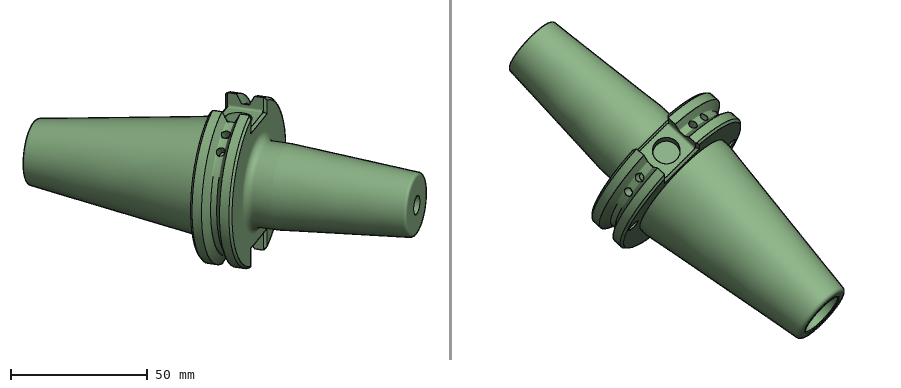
import cadquery as cq
import math

total_length = 148.2
taper_length = 68.2
hub_length = 3.1
flange_start = taper_length + hub_length
flange_width = 16.0
flange_end = flange_start + flange_width
cone_start = 97.5

gauge_radius = 22.2
taper_slope = 7 / 48
taper_small_radius = gauge_radius - taper_length * taper_slope
taper_end_fillet = 1.5
flange_radius = 31.7
flange_chamfer = 0.9

groove_offset = 11.1
groove_centre = taper_length + groove_offset
groove_floor_radius = 28.2
groove_top_width = 7.0
groove_half_angle = 30.0
groove_floor_fillet = 0.5

nose_radius = 16.0
nose_tip_radius = 12.0
nose_root_fillet = 3.0
nose_tip_fillet = 1.2

through_radius = 3.5
thread_radius = 6.8
thread_depth = 32.0
pilot_radius = 8.6
pilot_depth = 5.0
pilot_shoulder = 0.3
pilot_cone_length = 2.2
bore_chamfer = 0.37
drill_point_angle = 59.0

slot_width = 16.5
slot_chamfer = 1.0
slot_corner_fillet = 0.9
top_slot_floor = 24.9
bottom_slot_floor = gauge_radius

chip_hole_diameter = 10.1
chip_hole_depth = 4.6
balance_hole_diameter = 3.3
balance_hole_depth = 4.5
balance_hole_clearance = 0.5
balance_hole_angles = (-45, -30, 30, 45)
coolant_hole_diameter = 3.9
coolant_hole_depth = 7.4
coolant_hole_radius = 27.3
coolant_hole_turn = 20.0
coolant_hole_tilt = 40.0

clearance = 1.5


def round_circle(solid, x, radius, fillet):
    """Fillet the circular edge of the given radius round X at the given place."""
    reach = 0.01
    ring = cq.selectors.BoxSelector(
        (x - reach, -radius - reach, -radius - reach),
        (x + reach, radius + reach, radius + reach),
        boundingbox=True,
    )
    return solid.edges(ring).fillet(fillet)


def make_body():
    """Revolved outside of the taper, flange and nose."""
    groove_top_half = groove_top_width / 2
    groove_drop = flange_radius - groove_floor_radius
    groove_floor_half = groove_top_half - groove_drop * math.tan(math.radians(groove_half_angle))
    outline = [
        (0, 0),
        (0, taper_small_radius),
        (taper_length, gauge_radius),
        (flange_start, gauge_radius),
        (flange_start, flange_radius - flange_chamfer),
        (flange_start + flange_chamfer, flange_radius),
        (groove_centre - groove_top_half, flange_radius),
        (groove_centre - groove_floor_half, groove_floor_radius),
        (groove_centre + groove_floor_half, groove_floor_radius),
        (groove_centre + groove_top_half, flange_radius),
        (flange_end - flange_chamfer, flange_radius),
        (flange_end, flange_radius - flange_chamfer),
        (flange_end, nose_radius),
        (cone_start, nose_radius),
        (total_length, nose_tip_radius),
        (total_length, 0),
    ]
    body = cq.Workplane("XZ").polyline(outline).close().revolve(360, (0, 0, 0), (1, 0, 0))

    body = round_circle(body, 0, taper_small_radius, taper_end_fillet)
    body = round_circle(body, total_length, nose_tip_radius, nose_tip_fillet)
    body = round_circle(body, flange_end, nose_radius, nose_root_fillet)
    for side in (-1, 1):
        floor_edge = groove_centre + side * groove_floor_half
        body = round_circle(body, floor_edge, groove_floor_radius, groove_floor_fillet)
    return body


def make_bore():
    """Axial bore: chamfered pilot, cone, thread core with a drill point, through hole."""
    thread_start = pilot_depth + pilot_cone_length
    drill_point_length = (thread_radius - through_radius) / math.tan(math.radians(drill_point_angle))
    outline = [
        (0, 0),
        (0, pilot_radius + bore_chamfer),
        (bore_chamfer, pilot_radius),
        (pilot_depth, pilot_radius),
        (pilot_depth, pilot_radius - pilot_shoulder),
        (thread_start, thread_radius),
        (thread_depth, thread_radius),
        (thread_depth + drill_point_length, through_radius),
        (total_length, through_radius),
        (total_length, 0),
    ]
    return cq.Workplane("XZ").polyline(outline).close().revolve(360, (0, 0, 0), (1, 0, 0))


def make_slot(floor, floor_chamfer):
    """Drive slot across the top of the flange, flared at both flange faces."""
    half = slot_width / 2
    middle = flange_start + flange_width / 2
    inner = flange_width / 2 - slot_chamfer
    outer = flange_width / 2
    top = flange_radius + clearance
    plan = [
        (-outer, half + slot_chamfer),
        (-inner, half),
        (inner, half),
        (outer, half + slot_chamfer),
        (outer, -half - slot_chamfer),
        (inner, -half),
        (-inner, -half),
        (-outer, -half - slot_chamfer),
    ]
    slot = cq.Workplane("XY").polyline(plan).close().extrude(top)
    if floor_chamfer:
        profile = [
            (-outer, floor - slot_chamfer),
            (-inner, floor),
            (inner, floor),
            (outer, floor - slot_chamfer),
            (outer, top),
            (-outer, top),
        ]
    else:
        profile = [(-outer, floor), (outer, floor), (outer, top), (-outer, top)]
    side_prism = cq.Workplane("XZ").polyline(profile).close().extrude(flange_radius, both=True)
    slot = slot.intersect(side_prism)
    slot = slot.edges("|X").edges("<Z").fillet(slot_corner_fillet)
    return slot.translate((middle, 0, 0))


def make_balance_hole(angle):
    """Blind radial hole in the groove floor, turned about X from the +Z side."""
    hole = (
        cq.Workplane("XY")
        .workplane(offset=groove_floor_radius - balance_hole_depth)
        .center(groove_centre, 0)
        .circle(balance_hole_diameter / 2)
        .extrude(balance_hole_depth + balance_hole_clearance)
    )
    return hole.rotate((0, 0, 0), (1, 0, 0), angle)


def make_coolant_hole(turn):
    """Blind hole in the taper-side flange face, leaning inward, turned about X from +Y."""
    hole = (
        cq.Workplane("YZ")
        .workplane(offset=-2 * clearance)
        .circle(coolant_hole_diameter / 2)
        .extrude(coolant_hole_depth + 2 * clearance)
        .rotate((0, 0, 0), (0, 0, 1), -coolant_hole_tilt)
        .translate((flange_start, coolant_hole_radius, 0))
    )
    return hole.rotate((0, 0, 0), (1, 0, 0), turn)


chip_hole = (
    cq.Workplane("XY")
    .workplane(offset=top_slot_floor - chip_hole_depth)
    .center(groove_centre, 0)
    .circle(chip_hole_diameter / 2)
    .extrude(chip_hole_depth + clearance)
)

result = make_body().cut(make_bore())
result = result.cut(make_slot(top_slot_floor, True))
result = result.cut(make_slot(bottom_slot_floor, False).rotate((0, 0, 0), (1, 0, 0), 180))
result = result.cut(chip_hole)
for angle in balance_hole_angles:
    result = result.cut(make_balance_hole(angle))
for turn in (coolant_hole_turn, coolant_hole_turn + 180):
    result = result.cut(make_coolant_hole(turn))